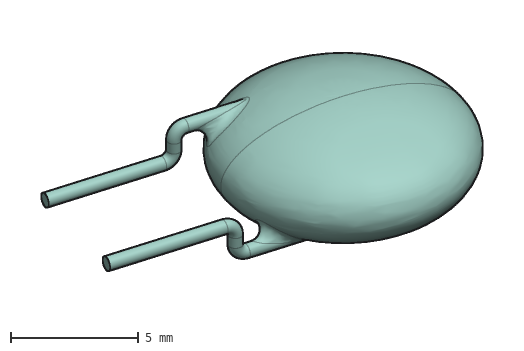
import cadquery as cq

body_diameter = 11.0
body_thickness = 5.0

wire_diameter = 0.62
lead_spacing = 5.0
lead_offset = 1.475
lead_tip_y = -12.0
lead_root_y = -2.5
bend_radius = 0.5
riser_y = -6.22
collar_radius = 0.5


def half_body(turn):
    """Half ellipsoid, swept 180 degrees about Z and then turned about Z."""
    half_thickness = body_thickness / 2
    return (
        cq.Workplane("YZ")
        .moveTo(0, -half_thickness)
        .ellipseArc(body_diameter / 2, half_thickness, -90, 90, startAtCurrent=True)
        .close()
        .revolve(180, (0, 0, 0), (0, 1, 0))
        .rotate((0, 0, 0), (0, 0, 1), turn)
    )


def lead(x, side):
    """S-bent wire at the given X; side is +1 above mid-height, -1 below."""
    height = side * lead_offset
    bend = bend_radius
    path = (
        cq.Workplane("YZ", origin=(x, 0, 0))
        .moveTo(lead_root_y, height)
        .lineTo(riser_y + bend, height)
        .tangentArcPoint((riser_y, height - side * bend), relative=False)
        .lineTo(riser_y, side * bend)
        .tangentArcPoint((riser_y - bend, 0), relative=False)
        .lineTo(lead_tip_y, 0)
    )
    return (
        cq.Workplane("XZ", origin=(x, lead_root_y, height))
        .circle(wire_diameter / 2)
        .sweep(path)
    )


def exit_edges(part):
    """Edges where the lead wires break through the body surface."""
    reach = body_diameter / 2
    zone = cq.selectors.BoxSelector(
        (-reach, riser_y + bend_radius + wire_diameter / 2, -body_thickness),
        (reach, lead_root_y, body_thickness),
        boundingbox=True,
    )
    return part.edges(zone)


coated_part = half_body(0).union(half_body(180), clean=False)

for side in (1, -1):
    coated_part = coated_part.union(lead(-side * lead_spacing / 2, side), clean=False)

result = exit_edges(coated_part).fillet(collar_radius)